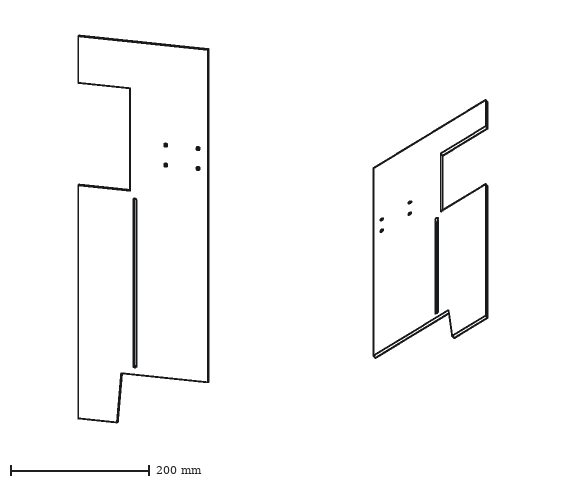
import cadquery as cq
import math

width = 200.0
height = 575.0
thickness = 5.0

notch_depth = 80.0
notch_height = 154.0
notch_top = height - 70.0
notch_bottom = notch_top - notch_height

leg_height = 75.0
leg_bottom_width = 60.0
leg_taper_angle = 5.0
leg_top_width = leg_bottom_width + leg_height * math.tan(math.radians(leg_taper_angle))

slot_width = thickness
slot_inset = 11.0
slot_top = notch_bottom - slot_inset
slot_bottom = leg_height + slot_inset
slot_center_x = 87.5

hole_diameter = 5.0
hole_spacing_x = 50.0
hole_spacing_z = 30.0
hole_pattern_right = width - 15.0
hole_pattern_top = height - 150.0


def make_plate():
    """Plate outline in the XZ plane, extruded through the thickness along Y."""
    outline = [
        (0, 0),
        (leg_bottom_width, 0),
        (leg_top_width, leg_height),
        (width, leg_height),
        (width, height),
        (0, height),
        (0, notch_top),
        (notch_depth, notch_top),
        (notch_depth, notch_bottom),
        (0, notch_bottom),
    ]
    return cq.Workplane("XZ").polyline(outline).close().extrude(-thickness)


def make_slot():
    """Round-ended slot cutter."""
    return (
        cq.Workplane("XZ")
        .center(slot_center_x, (slot_top + slot_bottom) / 2)
        .slot2D(slot_top - slot_bottom, slot_width, 90)
        .extrude(-thickness)
    )


def make_holes():
    """Cutters for the four holes."""
    center_x = hole_pattern_right - hole_spacing_x / 2
    center_z = hole_pattern_top - hole_spacing_z / 2
    return (
        cq.Workplane("XZ")
        .center(center_x, center_z)
        .rarray(hole_spacing_x, hole_spacing_z, 2, 2)
        .circle(hole_diameter / 2)
        .extrude(-thickness)
    )


result = make_plate().cut(make_slot()).cut(make_holes())